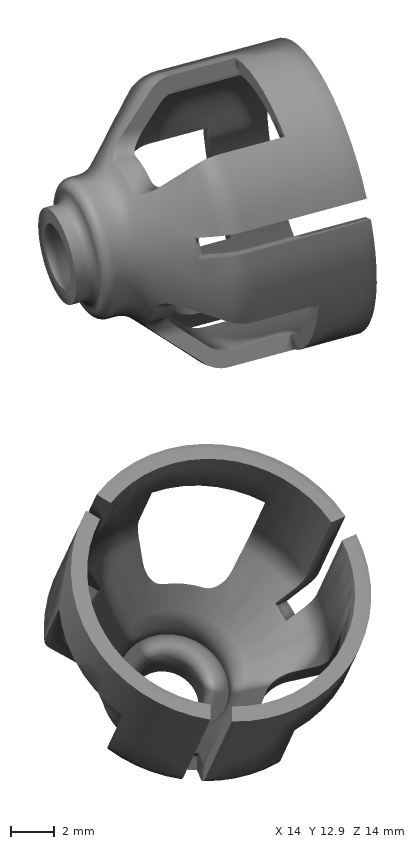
import cadquery as cq
import math

length = 12.9
wall = 0.75
cup_radius = 7.0
neck_radius = 6.7 / 2
neck_bore_radius = 5.2 / 2
nose_radius = 4.6 / 2
bore_radius = 3.1 / 2
cone_start_depth = 6.72
shoulder_depth = 11.89
bend_radius = 1.48
shoulder_round = 0.5
cone_angle = math.radians(45)

repeat_count = 3
window_start_depth = 2.88
window_floor_radius = 4.0
window_half_angle = 25.0
window_corner_radius = 1.01
slot_width = 1.0
slot_end_depth = 8.0
slot_floor_radius = 5.0
clearance = 1.4

cone_end_depth = cone_start_depth + (cup_radius - neck_radius) / math.tan(cone_angle)
cavity_radius = cup_radius - wall
cavity_cone_start = cone_start_depth - wall * math.tan(cone_angle / 2)
cavity_cone_end = cavity_cone_start + (cavity_radius - neck_bore_radius) / math.tan(cone_angle)
cavity_floor_depth = shoulder_depth - wall


def toward(start, end, distance):
    """Point at a distance from start on the way to end."""
    ratio = distance / math.dist(start, end)
    return tuple(s + (e - s) * ratio for s, e in zip(start, end))


def turned(corners):
    """Solid of revolution from (radius, depth, corner rounding) corners, closed along the axis."""
    points = [(radius, -depth) for radius, depth, _ in corners]
    profile = cq.Workplane("XY").moveTo(*points[0])
    for index in range(1, len(points)):
        corner = points[index]
        rounding = corners[index][2]
        if rounding == 0:
            profile = profile.lineTo(*corner)
            continue
        before = points[index - 1]
        after = points[index + 1]
        way_in = math.atan2(before[1] - corner[1], before[0] - corner[0])
        way_out = math.atan2(after[1] - corner[1], after[0] - corner[0])
        half_angle = math.acos(math.cos(way_in - way_out)) / 2
        tangent = rounding / math.tan(half_angle)
        arc_start = toward(corner, before, tangent)
        arc_end = toward(corner, after, tangent)
        chord_middle = tuple((a + b) / 2 for a, b in zip(arc_start, arc_end))
        arc_middle = toward(corner, chord_middle, rounding / math.sin(half_angle) - rounding)
        profile = profile.lineTo(*arc_start).threePointArc(arc_middle, arc_end)
    return profile.close().revolve(360, (0, 0, 0), (0, 1, 0))


def make_shell():
    outside = turned([
        (0, 0, 0),
        (cup_radius, 0, 0),
        (cup_radius, cone_start_depth, bend_radius),
        (neck_radius, cone_end_depth, bend_radius),
        (neck_radius, shoulder_depth, shoulder_round),
        (nose_radius, shoulder_depth, shoulder_round),
        (nose_radius, length, 0),
        (0, length, 0),
    ])
    cavity = turned([
        (0, 0, 0),
        (cavity_radius, 0, 0),
        (cavity_radius, cavity_cone_start, bend_radius),
        (neck_bore_radius, cavity_cone_end, bend_radius),
        (neck_bore_radius, cavity_floor_depth, 0),
        (bore_radius, cavity_floor_depth, shoulder_round),
        (bore_radius, length, 0),
        (0, length, 0),
    ])
    return outside.cut(cavity)


def polar(radius, degrees_from_z):
    angle = math.radians(degrees_from_z)
    return (radius * math.sin(angle), radius * math.cos(angle))


def make_window_cutter():
    """Ring sector centred on +Z with rounded inner corners, running parallel to the axis."""
    outer = cup_radius + clearance
    cutter = (
        cq.Workplane("XZ", origin=(0, -window_start_depth, 0))
        .moveTo(*polar(outer, -window_half_angle))
        .threePointArc(polar(outer, 0), polar(outer, window_half_angle))
        .lineTo(*polar(window_floor_radius, window_half_angle))
        .threePointArc(polar(window_floor_radius, 0), polar(window_floor_radius, -window_half_angle))
        .close()
        .extrude(length - window_start_depth)
    )
    return cutter.edges("|Y").edges("<Z").fillet(window_corner_radius)


def make_slot_cutter():
    """Box on the -Z side, open at the rim and reaching in to the slot floor."""
    outer = cup_radius + clearance
    return cq.Workplane("XY").box(
        slot_width, slot_end_depth, outer - slot_floor_radius, centered=(True, True, False)
    ).translate((0, -slot_end_depth / 2, -outer))


result = make_shell()
window_cutter = make_window_cutter()
slot_cutter = make_slot_cutter()
for index in range(repeat_count):
    turn = index * 360 / repeat_count
    for cutter in (window_cutter, slot_cutter):
        result = result.cut(cutter.rotate((0, 0, 0), (0, 1, 0), turn))